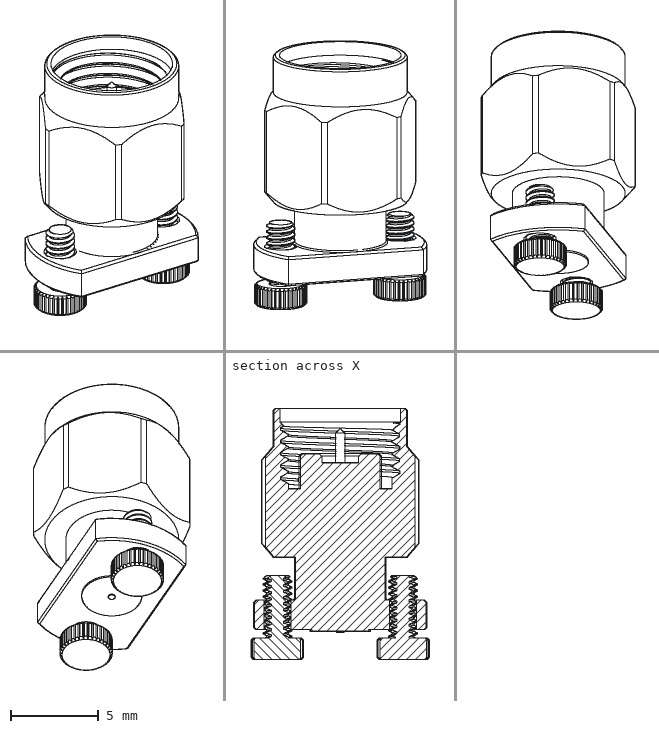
import cadquery as cq
import math

TOP_Z = 14.33
COLLAR_BOTTOM_Z = 12.17
COLLAR_RADIUS = 3.83
COLLAR_CHAMFER = 0.11
HEX_BOTTOM_Z = 5.83
HEX_ACROSS_FLATS = 7.94
HEX_CORNER_RADIUS = 4.49
HEX_CHAMFER_ANGLE = 50.0

MOUTH_RADIUS = 3.47
MOUTH_BOTTOM_Z = 13.54
LEAD_IN_BOTTOM_Z = 13.07
SOCKET_RADIUS = 3.0
SOCKET_FLOOR_Z = 9.75
SOCKET_THREAD_PITCH = 0.7
SOCKET_THREAD_ROOT_RADIUS = 3.42
SOCKET_THREAD_CREST = 0.09
SOCKET_THREAD_START_Z = 10.25
SOCKET_THREAD_START_ANGLE = 45.0
SOCKET_THREAD_TURNS = 4.7

FACE_RADIUS = 2.35
FACE_TOP_Z = 11.75
FACE_CHAMFER = 0.15
BORE_RADIUS = 1.16
BORE_FLOOR_Z = 11.23
BORE_CHAMFER = 0.15
PIN_RADIUS = 0.26
PIN_TIP_Z = 13.18
PIN_POINT_LENGTH = 0.26

BARREL_RADIUS = 2.62
BARREL_FOOT_FILLET = 0.09
FLANGE_TOP_Z = 3.4
FLANGE_BOTTOM_Z = 1.7
FLANGE_WIDTH = 5.65
FLANGE_END_RADIUS = 4.95
FLANGE_TOP_CHAMFER = 0.15
FLANGE_BOTTOM_CHAMFER = 0.11
REAR_DISC_RADIUS = 1.72
REAR_DISC_Z = 1.6
REAR_CONTACT_RADIUS = 0.2
REAR_CONTACT_Z = 1.55
SCREW_HOLE_RADIUS = 0.92

SCREW_OFFSET = 3.58
SCREW_TOP_Z = 4.8
SCREW_THREAD_RADIUS = 0.82
SCREW_CORE_RADIUS = 0.63
SCREW_PITCH = 0.35
SCREW_CREST = 0.05
SCREW_CREST_TOP_Z = 4.54
HEAD_RADIUS = 1.497
HEAD_HEIGHT = 1.23
HEAD_CHAMFER = 0.13
KNURL_COUNT = 36
KNURL_DEPTH = 0.11

FLANK_SLOPE = math.tan(math.radians(30))
OVERLAP = 0.03


def cylinder(radius, bottom_z, top_z):
    return cq.Workplane("XY").workplane(offset=bottom_z).circle(radius).extrude(top_z - bottom_z)


def revolved(points):
    """Solid of revolution about Z from (radius, z) points."""
    return cq.Workplane("XZ").polyline(points).close().revolve(360, (0, 0), (0, 1))


def helical_ridge(pitch, turns, narrow_radius, narrow_width, wide_radius):
    """Right-handed 60 degree ridge, its profile on +X and centred on z = 0 at the start.

    The profile is narrow_width high at narrow_radius and widens towards wide_radius.
    """
    wide_width = narrow_width + 2 * abs(wide_radius - narrow_radius) * FLANK_SLOPE
    profile = cq.Workplane("XZ").polyline([
        (narrow_radius, -narrow_width / 2),
        (narrow_radius, narrow_width / 2),
        (wide_radius, wide_width / 2),
        (wide_radius, -wide_width / 2),
    ]).close()
    path = cq.Workplane(cq.Wire.makeHelix(pitch, pitch * turns, narrow_radius))
    return profile.sweep(path, isFrenet=True)


def make_hex():
    half_flats = HEX_ACROSS_FLATS / 2
    drop = (HEX_CORNER_RADIUS - COLLAR_RADIUS) * math.tan(math.radians(HEX_CHAMFER_ANGLE))
    envelope = revolved([
        (0, HEX_BOTTOM_Z),
        (COLLAR_RADIUS, HEX_BOTTOM_Z),
        (HEX_CORNER_RADIUS, HEX_BOTTOM_Z + drop),
        (HEX_CORNER_RADIUS, COLLAR_BOTTOM_Z - drop),
        (COLLAR_RADIUS, COLLAR_BOTTOM_Z),
        (0, COLLAR_BOTTOM_Z),
    ])
    prism = (
        cq.Workplane("XY").workplane(offset=HEX_BOTTOM_Z)
        .transformed(rotate=(0, 0, 90))
        .polygon(6, 2 * half_flats / math.cos(math.radians(30)))
        .extrude(COLLAR_BOTTOM_Z - HEX_BOTTOM_Z)
    )
    return prism.intersect(envelope)


def make_mouth():
    """Round opening of the nut with the tapered lead-in to the threaded socket below it."""
    return revolved([
        (0, LEAD_IN_BOTTOM_Z),
        (SOCKET_RADIUS, LEAD_IN_BOTTOM_Z),
        (MOUTH_RADIUS, MOUTH_BOTTOM_Z),
        (MOUTH_RADIUS, TOP_Z),
        (0, TOP_Z),
    ])


def make_socket_thread():
    """Helical groove cut into the wall of the socket."""
    root_depth = SOCKET_THREAD_ROOT_RADIUS - SOCKET_RADIUS
    root_width = SOCKET_THREAD_PITCH - SOCKET_THREAD_CREST - 2 * root_depth * FLANK_SLOPE
    groove = helical_ridge(
        SOCKET_THREAD_PITCH, SOCKET_THREAD_TURNS,
        SOCKET_THREAD_ROOT_RADIUS, root_width, SOCKET_RADIUS - OVERLAP,
    )
    return (
        groove.rotate((0, 0, 0), (0, 0, 1), SOCKET_THREAD_START_ANGLE)
        .translate((0, 0, SOCKET_THREAD_START_Z))
    )


def make_contact():
    """Chamfered contact face with its bore and the pointed pin that stands in it."""
    face = cylinder(FACE_RADIUS, SOCKET_FLOOR_Z, FACE_TOP_Z).faces(">Z").chamfer(FACE_CHAMFER)
    bore = cylinder(BORE_RADIUS, BORE_FLOOR_Z, FACE_TOP_Z)
    bore_mouth = revolved([
        (0, FACE_TOP_Z),
        (BORE_RADIUS + BORE_CHAMFER, FACE_TOP_Z),
        (BORE_RADIUS, FACE_TOP_Z - BORE_CHAMFER),
        (0, FACE_TOP_Z - BORE_CHAMFER),
    ])
    pin = revolved([
        (0, SOCKET_FLOOR_Z),
        (PIN_RADIUS, SOCKET_FLOOR_Z),
        (PIN_RADIUS, PIN_TIP_Z - PIN_POINT_LENGTH),
        (0, PIN_TIP_Z),
    ])
    return face.cut(bore).cut(bore_mouth).union(pin)


def make_barrel():
    """Barrel between nut and flange, flared by a small fillet at its foot."""
    foot_radius = BARREL_RADIUS + BARREL_FOOT_FILLET
    return (
        cq.Workplane("XZ")
        .moveTo(0, FLANGE_TOP_Z)
        .lineTo(foot_radius, FLANGE_TOP_Z)
        .radiusArc((BARREL_RADIUS, FLANGE_TOP_Z + BARREL_FOOT_FILLET), BARREL_FOOT_FILLET)
        .lineTo(BARREL_RADIUS, HEX_BOTTOM_Z)
        .lineTo(0, HEX_BOTTOM_Z)
        .close()
        .revolve(360, (0, 0), (0, 1))
    )


def make_flange():
    plate = (
        cylinder(FLANGE_END_RADIUS, FLANGE_BOTTOM_Z, FLANGE_TOP_Z)
        .intersect(cq.Workplane("XY").box(FLANGE_WIDTH, 2 * FLANGE_END_RADIUS, 2 * TOP_Z))
    )
    plate = plate.faces(">Z").chamfer(FLANGE_TOP_CHAMFER)
    plate = plate.faces("<Z").chamfer(FLANGE_BOTTOM_CHAMFER)
    return (
        plate.faces(">Z").workplane(origin=(0, 0, 0))
        .pushPoints([(0, -SCREW_OFFSET), (0, SCREW_OFFSET)])
        .hole(2 * SCREW_HOLE_RADIUS)
    )


def make_connector():
    collar = cylinder(COLLAR_RADIUS, COLLAR_BOTTOM_Z, TOP_Z).faces(">Z").chamfer(COLLAR_CHAMFER)
    socket = cylinder(SOCKET_RADIUS, SOCKET_FLOOR_Z, TOP_Z)
    nut = make_hex().union(collar).cut(socket).cut(make_socket_thread()).cut(make_mouth())
    rear_disc = cylinder(REAR_DISC_RADIUS, REAR_DISC_Z, FLANGE_BOTTOM_Z)
    rear_contact = cylinder(REAR_CONTACT_RADIUS, REAR_CONTACT_Z, REAR_DISC_Z)
    return (
        nut.union(make_contact()).union(make_barrel()).union(make_flange())
        .union(rear_disc).union(rear_contact)
    )


def make_screw_head():
    """Knurled head: V grooves all round, chamfered at both ends."""
    blank = cylinder(HEAD_RADIUS, 0, HEAD_HEIGHT).faces("<Z or >Z").chamfer(HEAD_CHAMFER)
    groove_half_angle = math.pi / KNURL_COUNT / 2
    groove_reach = HEAD_RADIUS + OVERLAP
    groove_half_width = groove_reach * math.tan(groove_half_angle)
    groove = cq.Workplane("XY").polyline([
        (HEAD_RADIUS - KNURL_DEPTH, 0),
        (groove_reach, groove_half_width),
        (groove_reach, -groove_half_width),
    ]).close().extrude(HEAD_HEIGHT)
    for index in range(KNURL_COUNT):
        blank = blank.cut(groove.rotate((0, 0, 0), (0, 0, 1), index * 360 / KNURL_COUNT))
    return blank


def make_screw_shank():
    """Threaded shank with a chamfered tip."""
    core = cylinder(SCREW_CORE_RADIUS, HEAD_HEIGHT, SCREW_TOP_Z)
    turns = math.ceil((SCREW_TOP_Z - HEAD_HEIGHT) / SCREW_PITCH) + 1
    ridge = helical_ridge(
        SCREW_PITCH, turns, SCREW_THREAD_RADIUS, SCREW_CREST, SCREW_CORE_RADIUS - OVERLAP,
    ).translate((0, 0, SCREW_CREST_TOP_Z - (turns - 1) * SCREW_PITCH))
    envelope = (
        cylinder(SCREW_THREAD_RADIUS + OVERLAP, HEAD_HEIGHT, SCREW_TOP_Z)
        .faces(">Z").chamfer(SCREW_THREAD_RADIUS + OVERLAP - SCREW_CORE_RADIUS)
    )
    return core.union(ridge.intersect(envelope))


def make_screw():
    return make_screw_head().union(make_screw_shank())


connector = make_connector()
screws = [
    make_screw().translate((0, SCREW_OFFSET, 0)).rotate((0, 0, 0), (0, 0, 1), angle)
    for angle in (0, 180)
]

result = cq.Compound.makeCompound([connector.val(), *[screw.val() for screw in screws]])